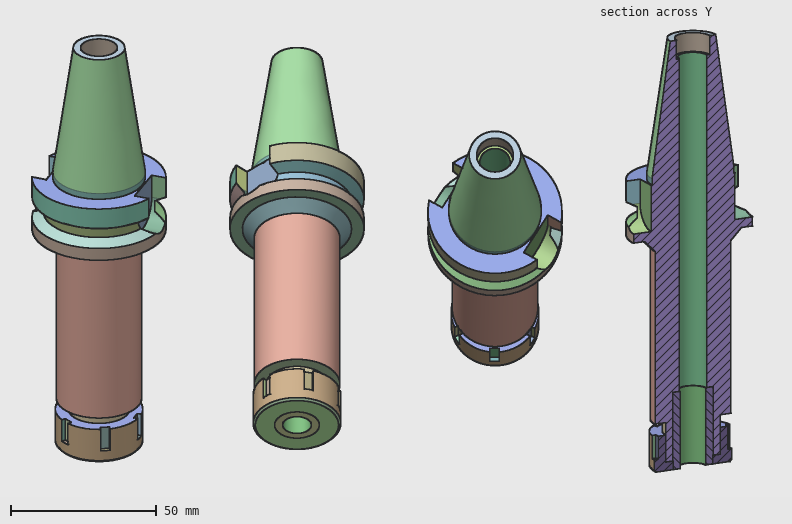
import cadquery as cq
import math

total_height = 153.4
taper_height = 48.2
gauge_height = 2.3
flange_height = 20.0
shoulder_height = 4.0
neck_height = 4.3
nut_height = 12.9

taper_base_z = total_height - taper_height
flange_top_z = taper_base_z - gauge_height
flange_bottom_z = flange_top_z - flange_height
body_top_z = flange_bottom_z - shoulder_height
body_bottom_z = nut_height + neck_height

taper_slope = 7 / 48
gauge_diameter = 31.8
gauge_radius = gauge_diameter / 2
taper_tip_radius = gauge_radius - taper_height * taper_slope
flange_radius = 23.0
body_radius = 14.7
shoulder_radius = body_radius + shoulder_height
neck_radius = 10.6

groove_root_radius = 19.2
upper_rim_height = 7.5
groove_root_height = 3.4
groove_side_height = (flange_radius - groove_root_radius) * math.tan(math.radians(30))
groove_top_z = flange_top_z - upper_rim_height
root_top_z = groove_top_z - groove_side_height
root_bottom_z = root_top_z - groove_root_height
groove_bottom_z = root_bottom_z - groove_side_height

drive_slot_width = 16.1
drive_slot_floor_x = 16.3
drive_slot_depth = 16.5

pull_stud_bore_radius = 6.3
pull_stud_bore_depth = 6.7
through_bore_radius = 5.2

collet_radius = 7.7
collet_length = 27.6
collet_bore_radius = 4.9

nut_radius = 15.0
nut_chamfer = 0.8
nut_lip_height = 3.0
spanner_slot_count = 6
spanner_slot_width = 3.2
spanner_slot_length = 8.3
spanner_slot_depth = 1.5


def cylinder(radius, bottom_z, top_z):
    """Upright cylinder on the Z axis between two levels."""
    return cq.Workplane("XY").workplane(offset=bottom_z).circle(radius).extrude(top_z - bottom_z)


def make_drive_slot():
    """Cutter for the slot on the +X side: open at the flange top, round at the bottom."""
    half_width = drive_slot_width / 2
    arc_center_z = flange_top_z - drive_slot_depth + half_width
    return (
        cq.Workplane("YZ")
        .workplane(offset=drive_slot_floor_x)
        .moveTo(-half_width, flange_top_z)
        .lineTo(-half_width, arc_center_z)
        .threePointArc((0, flange_top_z - drive_slot_depth), (half_width, arc_center_z))
        .lineTo(half_width, flange_top_z)
        .close()
        .extrude(flange_radius - drive_slot_floor_x)
    )


def make_holder():
    """Taper shank, grooved flange, body and the neck that carries the nut."""
    profile = [
        (0, total_height),
        (taper_tip_radius, total_height),
        (gauge_radius, taper_base_z),
        (gauge_radius, flange_top_z),
        (flange_radius, flange_top_z),
        (flange_radius, groove_top_z),
        (groove_root_radius, root_top_z),
        (groove_root_radius, root_bottom_z),
        (flange_radius, groove_bottom_z),
        (flange_radius, flange_bottom_z),
        (shoulder_radius, flange_bottom_z),
        (body_radius, body_top_z),
        (body_radius, body_bottom_z),
        (neck_radius, body_bottom_z),
        (neck_radius, nut_lip_height),
        (0, nut_lip_height),
    ]
    holder = cq.Workplane("XZ").polyline(profile).close().revolve(360, (0, 0), (0, 1))

    drive_slot = make_drive_slot()
    for angle in (0, 180):
        holder = holder.cut(drive_slot.rotate((0, 0, 0), (0, 0, 1), angle))

    through_bore = cylinder(through_bore_radius, 0, total_height)
    pull_stud_bore = cylinder(pull_stud_bore_radius, total_height - pull_stud_bore_depth, total_height)
    collet_seat = cylinder(collet_radius, 0, collet_length)
    return holder.cut(through_bore).cut(pull_stud_bore).cut(collet_seat)


def make_collet():
    """Straight sleeve seated in the lower end of the holder, flush with the nut face."""
    return cylinder(collet_radius, 0, collet_length).cut(cylinder(collet_bore_radius, 0, collet_length))


def make_nut():
    """Ring around the neck, with an inner lip at the bottom and spanner slots from the top."""
    nut = cylinder(nut_radius, 0, nut_height).faces("<Z").edges().chamfer(nut_chamfer)
    nut = nut.cut(cylinder(neck_radius, nut_lip_height, nut_height))
    nut = nut.cut(cylinder(collet_radius, 0, nut_lip_height))

    slot_cutter = (
        cq.Workplane("XY")
        .box(2 * spanner_slot_depth, spanner_slot_width, 2 * spanner_slot_length)
        .translate((nut_radius, 0, nut_height))
    )
    for index in range(spanner_slot_count):
        angle = index * 360 / spanner_slot_count
        nut = nut.cut(slot_cutter.rotate((0, 0, 0), (0, 0, 1), angle))
    return nut


holder = make_holder()
collet = make_collet()
nut = make_nut()

result = cq.Compound.makeCompound([holder.val(), collet.val(), nut.val()])